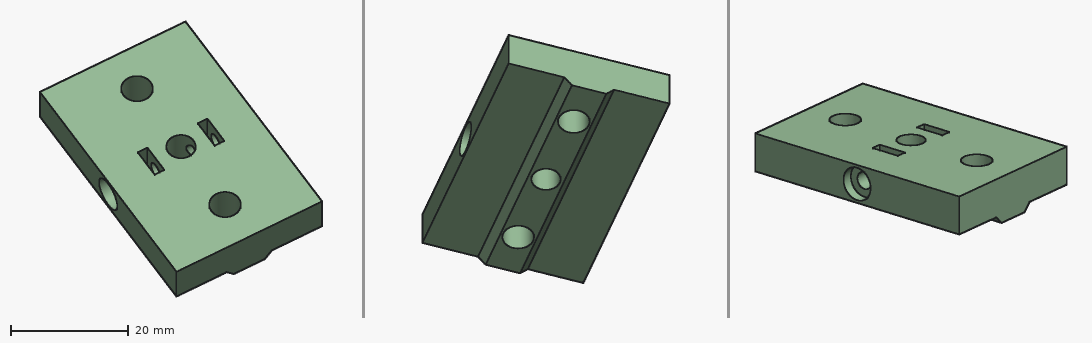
import cadquery as cq

length = 45.0
width = 29.05
height = 8.5
plate_thickness = 7.0

tongue_root_width = 9.0
tongue_tip_width = 6.2

mounting_hole_diameter = 5.4
mounting_hole_spacing = 29.0
center_hole_diameter = 5.0

cross_bore_diameter = 3.1
counterbore_diameter = 6.0
counterbore_depth = 2.0
bore_z = -plate_thickness / 2

slot_length = 5.6
slot_width = 1.95
slot_spacing = 11.95
slot_depth = plate_thickness / 2 + slot_length / 2


def make_body():
    """Extrude the plate and tongue cross-section along X."""
    profile = [
        (-width / 2, 0),
        (width / 2, 0),
        (width / 2, -plate_thickness),
        (tongue_root_width / 2, -plate_thickness),
        (tongue_tip_width / 2, -height),
        (-tongue_tip_width / 2, -height),
        (-tongue_root_width / 2, -plate_thickness),
        (-width / 2, -plate_thickness),
    ]
    return cq.Workplane("YZ").polyline(profile).close().extrude(length / 2, both=True)


def make_vertical_holes():
    """Cutters for the two mounting holes and the center hole."""
    mounting = (
        cq.Workplane("XY")
        .rarray(mounting_hole_spacing, 0.45, 2, 1)
        .circle(mounting_hole_diameter / 2)
        .extrude(-height)
    )
    center = cq.Workplane("XY").circle(center_hole_diameter / 2).extrude(-height)
    return mounting.union(center)


def make_cross_bore():
    """Cutter for the through bore with a counterbore at each end."""
    axis_plane = cq.Workplane("XZ", origin=(0, 0, bore_z))
    cutter = axis_plane.circle(cross_bore_diameter / 2).extrude(width / 2, both=True)
    counterbore = (
        axis_plane.workplane(offset=width / 2)
        .circle(counterbore_diameter / 2)
        .extrude(-counterbore_depth)
    )
    return cutter.union(counterbore).union(counterbore.mirror("XZ"))


def make_nut_slots():
    """Cutters for the two nut slots crossing the bore."""
    return (
        cq.Workplane("XY")
        .rarray(0.45, slot_spacing, 1, 2)
        .rect(slot_length, slot_width)
        .extrude(-slot_depth)
    )


result = (
    make_body()
    .cut(make_vertical_holes())
    .cut(make_cross_bore())
    .cut(make_nut_slots())
)